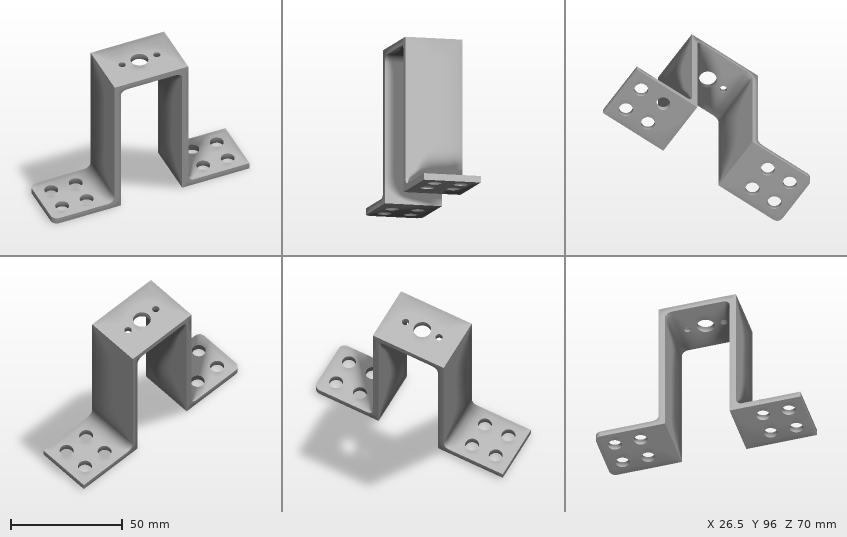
import cadquery as cq

width = 26.5
length = 96.0
height = 70.0
thickness = 3.0
bend_radius = 3.0

channel_length = 36.0

corner_radius = 3.0

foot_hole_diameter = 6.2
foot_hole_spacing = 12.0
foot_hole_end_distance = 7.5

center_hole_diameter = 8.0
small_hole_diameter = 3.3
small_hole_spacing = 17.0

half_length = length / 2
outer_wall = channel_length / 2
inner_wall = outer_wall - thickness


def block(y_min, y_max, z_min, z_max):
    """Full-width box spanning the given Y and Z ranges."""
    box = cq.Workplane("XY").box(width, y_max - y_min, z_max - z_min, centered=(True, False, False))
    return box.translate((0, y_min, z_min))


def vertical_holes(points, diameter):
    """Cutters running through the full height at the given XY points."""
    return cq.Workplane("XY").pushPoints(points).circle(diameter / 2).extrude(height)


def make_body():
    """Bent strip: two feet, two walls and a top plate with rounded inside corners."""
    feet = block(-half_length, half_length, 0, thickness)
    channel = block(-outer_wall, outer_wall, 0, height)
    hollow = block(-inner_wall, inner_wall, 0, height - thickness)
    hollow = hollow.edges("|X and >Z").fillet(bend_radius)
    body = feet.union(channel)
    for side in (-1, 1):
        foot_bend = cq.selectors.NearestToPointSelector((0, side * outer_wall, thickness))
        body = body.edges(foot_bend).fillet(bend_radius)
    return body.cut(hollow)


def foot_hole_points():
    """Hole centers of both foot patterns."""
    pattern_center = half_length - foot_hole_end_distance - foot_hole_spacing / 2
    offset = foot_hole_spacing / 2
    return [
        (x, side * pattern_center + y)
        for side in (-1, 1)
        for x in (-offset, offset)
        for y in (-offset, offset)
    ]


small_hole_points = [(0, side * small_hole_spacing / 2) for side in (-1, 1)]

body = make_body()
body = body.faces("<Y").edges("|Z").fillet(corner_radius)
body = body.cut(vertical_holes(foot_hole_points(), foot_hole_diameter))
body = body.cut(vertical_holes([(0, 0)], center_hole_diameter))
result = body.cut(vertical_holes(small_hole_points, small_hole_diameter))